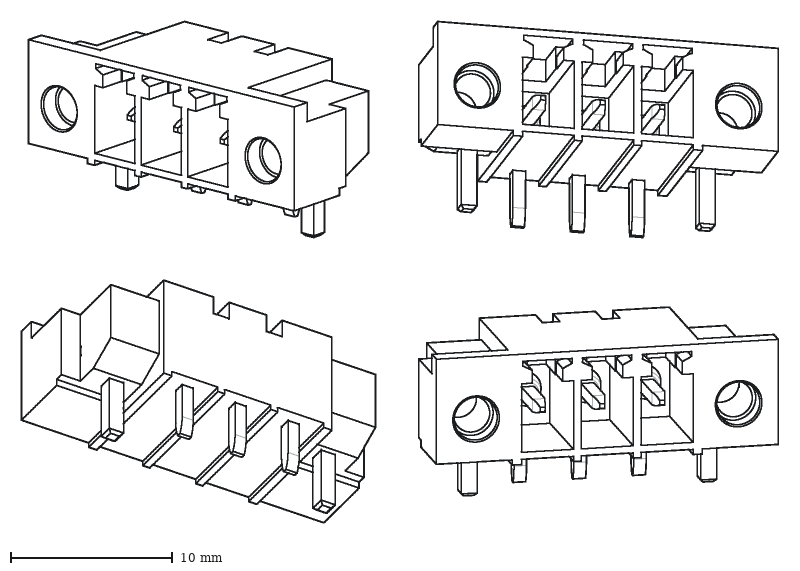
import cadquery as cq
import math


PITCH = 3.8
CONTACT_COUNT = 3
CONTACT_XS = [(i - (CONTACT_COUNT - 1) / 2) * PITCH for i in range(CONTACT_COUNT)]
MATING_Z = 3.08

LENGTH = 21.72
DEPTH = 9.2
TOP_Z = 7.05
STANDOFF_HEIGHT = 0.33
FLANGE_DEPTH = 1.24

WING_TOP_Z = 5.82
OUTER_WING_DEPTH = 4.9
INNER_WING_LENGTH = 19.0
INNER_WING_DEPTH = 8.65
WING_STEP_Y = 4.32
WING_STEP_Z = 0.78
WING_SLOPE_Y = 6.5
WING_SLOPE_END_Z = 1.8

POCKET_WIDTH = 3.3
POCKET_DEPTH = 6.52
POCKET_FLOOR_THICKNESS = 0.45
POCKET_FLOOR_Z = STANDOFF_HEIGHT + POCKET_FLOOR_THICKNESS
POCKET_TOP_Z = 5.17
OUTER_WALL = 0.59
BLOCK_LENGTH = (CONTACT_COUNT - 1) * PITCH + POCKET_WIDTH + 2 * OUTER_WALL

KEYWAY_WIDTH = 1.8
KEYWAY_TOP_Z = 6.6
KEYWAY_DEPTH = 4.35
KEYWAY_MOUTH_WIDTH = 1.93
KEYWAY_MOUTH_DEPTH = 1.74
FLARE_WIDTH = 3.13
FLARE_EDGE_Z = 6.3
FLARE_ROOT_Z = 6.0

COLLAR_BASE_RADIUS = 1.09
COLLAR_RIM_RADIUS = 0.85
COLLAR_HEIGHT = 1.0
COLLAR_ROUNDING = 0.2

NOTCH_WIDTH = 1.1
NOTCH_LENGTH = 1.93
NOTCH_FLOOR_Z = WING_TOP_Z

SCREW_HOLE_X = 8.35
SCREW_BORE_RADIUS = 1.37
SCREW_BORE_DEPTH = FLANGE_DEPTH
SCREW_BORE_CHAMFER = 0.1
SCREW_CORE_RADIUS = 1.15
SCREW_CORE_DEPTH = OUTER_WING_DEPTH

PIN_SIZE = 0.8
PIN_TIP_THICKNESS = 0.28
PIN_TIP_WIDTH = 0.33
PIN_TIP_LENGTH = 1.13
PIN_FRONT_Y = 1.37
PIN_LEG_Y = 7.93
LEG_END_Z = -3.21

PEG_SIZE = 1.02
PEG_X = 2 * PITCH
PEG_Y = 5.58
PEG_TOP_Z = 1.74
PEG_CHAMFER = 0.2


def box(x_range, y_range, z_range):
    """Block between two limits along each axis."""
    (x0, x1), (y0, y1), (z0, z1) = x_range, y_range, z_range
    return cq.Workplane("XY").box(x1 - x0, y1 - y0, z1 - z0, centered=False).translate((x0, y0, z0))


def centred(width, middle=0.0):
    """Limits of a span of the given width around its middle."""
    return (middle - width / 2, middle + width / 2)


def round_bore(x, radius, depth):
    """Cylinder from the mating face along +Y, at the height of the contact axes."""
    return cq.Workplane(cq.Solid.makeCylinder(radius, depth, cq.Vector(x, 0, MATING_Z), cq.Vector(0, 1, 0)))


def make_wings():
    """Wing profile along the whole row, with its ends shortened behind the outer wings."""
    profile = (
        cq.Workplane("YZ")
        .moveTo(0, STANDOFF_HEIGHT)
        .lineTo(WING_STEP_Y, STANDOFF_HEIGHT)
        .lineTo(WING_STEP_Y, WING_STEP_Z)
        .lineTo(WING_SLOPE_Y, WING_STEP_Z)
        .lineTo(INNER_WING_DEPTH, WING_SLOPE_END_Z)
        .lineTo(INNER_WING_DEPTH, WING_TOP_Z)
        .lineTo(0, WING_TOP_Z)
        .close()
        .extrude(LENGTH / 2, both=True)
    )
    outer = box(centred(LENGTH), (0, OUTER_WING_DEPTH), (0, TOP_Z))
    inner = box(centred(INNER_WING_LENGTH), (0, INNER_WING_DEPTH), (0, TOP_Z))
    return profile.intersect(outer.union(inner))


def make_keyway(x):
    """Slot above a pocket, with a wider flared mouth at the mating face."""
    slot = box(centred(KEYWAY_WIDTH, x), (0, KEYWAY_DEPTH), (POCKET_TOP_Z, KEYWAY_TOP_Z))
    half_mouth = KEYWAY_MOUTH_WIDTH / 2
    half_flare = FLARE_WIDTH / 2
    mouth = (
        cq.Workplane("XZ")
        .polyline([
            (x - half_mouth, POCKET_TOP_Z),
            (x + half_mouth, POCKET_TOP_Z),
            (x + half_mouth, FLARE_ROOT_Z),
            (x + half_flare, FLARE_EDGE_Z),
            (x + half_flare, KEYWAY_TOP_Z),
            (x - half_flare, KEYWAY_TOP_Z),
            (x - half_flare, FLARE_EDGE_Z),
            (x - half_mouth, FLARE_ROOT_Z),
        ])
        .close()
        .extrude(-KEYWAY_MOUTH_DEPTH)
    )
    return slot.union(mouth)


def make_collar(x):
    """Conical collar with a rounded rim, standing on the pocket back wall."""
    cone = cq.Workplane(cq.Solid.makeCone(
        COLLAR_BASE_RADIUS, COLLAR_RIM_RADIUS, COLLAR_HEIGHT,
        cq.Vector(x, POCKET_DEPTH, MATING_Z), cq.Vector(0, -1, 0),
    ))
    return cone.faces("<Y").edges().fillet(COLLAR_ROUNDING)


def make_screw_hole(x):
    """Stepped blind hole with a chamfered mouth."""
    bore = round_bore(x, SCREW_BORE_RADIUS, SCREW_BORE_DEPTH)
    core = round_bore(x, SCREW_CORE_RADIUS, SCREW_CORE_DEPTH)
    mouth = cq.Workplane(cq.Solid.makeCone(
        SCREW_BORE_RADIUS + SCREW_BORE_CHAMFER, SCREW_BORE_RADIUS, SCREW_BORE_CHAMFER,
        cq.Vector(x, 0, MATING_Z), cq.Vector(0, 1, 0),
    ))
    return bore.union(core).union(mouth)


def taper_arc_middle():
    """Offset from the pin axis, and distance from the tip end, halfway along a taper arc.

    The arc is tangent to the pin side, so its centre lies level with the start of the taper.
    """
    inset = (PIN_SIZE - PIN_TIP_THICKNESS) / 2
    radius = (PIN_TIP_LENGTH ** 2 + inset ** 2) / (2 * inset)
    half_angle = math.asin(PIN_TIP_LENGTH / radius) / 2
    offset = PIN_SIZE / 2 - radius * (1 - math.cos(half_angle))
    return offset, PIN_TIP_LENGTH - radius * math.sin(half_angle)


def make_contact_pin(x):
    """Square pin bent at a right angle, tapered at the mating tip and at the board end."""
    half = PIN_SIZE / 2
    half_tip = PIN_TIP_THICKNESS / 2
    half_tip_width = PIN_TIP_WIDTH / 2
    taper_y = PIN_FRONT_Y + PIN_TIP_LENGTH
    taper_z = LEG_END_Z + PIN_TIP_LENGTH
    arc_offset, arc_distance = taper_arc_middle()
    arc_y = PIN_FRONT_Y + arc_distance
    arc_z = LEG_END_Z + arc_distance
    bent_bar = (
        cq.Workplane("YZ", origin=(x, 0, 0))
        .moveTo(taper_y, MATING_Z + half)
        .lineTo(PIN_LEG_Y + half, MATING_Z + half)
        .lineTo(PIN_LEG_Y + half, taper_z)
        .threePointArc((PIN_LEG_Y + arc_offset, arc_z), (PIN_LEG_Y + half_tip, LEG_END_Z))
        .lineTo(PIN_LEG_Y - half_tip, LEG_END_Z)
        .threePointArc((PIN_LEG_Y - arc_offset, arc_z), (PIN_LEG_Y - half, taper_z))
        .lineTo(PIN_LEG_Y - half, MATING_Z - half)
        .lineTo(taper_y, MATING_Z - half)
        .threePointArc((arc_y, MATING_Z - arc_offset), (PIN_FRONT_Y, MATING_Z - half_tip))
        .lineTo(PIN_FRONT_Y, MATING_Z + half_tip)
        .threePointArc((arc_y, MATING_Z + arc_offset), (taper_y, MATING_Z + half))
        .close()
        .extrude(half, both=True)
    )
    plan = (
        cq.Workplane("XY", origin=(x, 0, LEG_END_Z))
        .polyline([
            (-half_tip_width, PIN_FRONT_Y),
            (half_tip_width, PIN_FRONT_Y),
            (half, taper_y),
            (half, PIN_LEG_Y + half),
            (-half, PIN_LEG_Y + half),
            (-half, taper_y),
        ])
        .close()
        .extrude(TOP_Z - LEG_END_Z)
    )
    return bent_bar.intersect(plan)


def make_board_peg(x):
    """Square peg pressed up into the wing underside, chamfered at its lower end."""
    peg = box(centred(PEG_SIZE, x), centred(PEG_SIZE, PEG_Y), (LEG_END_Z, PEG_TOP_Z))
    return peg.faces("<Z").chamfer(PEG_CHAMFER)


def make_housing(inserts):
    """Housing with pockets, keyways, notches, screw holes and a seat for each insert."""
    body = make_wings()
    body = body.union(box(centred(LENGTH), (0, FLANGE_DEPTH), (STANDOFF_HEIGHT, TOP_Z)))
    body = body.union(box(centred(BLOCK_LENGTH), (0, DEPTH), (0, TOP_Z)))

    for x in CONTACT_XS:
        body = body.cut(box(centred(POCKET_WIDTH, x), (0, DEPTH), (0, STANDOFF_HEIGHT)))
        body = body.cut(box(centred(POCKET_WIDTH, x), (0, POCKET_DEPTH), (POCKET_FLOOR_Z, POCKET_TOP_Z)))
        body = body.cut(make_keyway(x))
        body = body.union(make_collar(x))

    for x in [left + PITCH / 2 for left in CONTACT_XS[:-1]]:
        body = body.cut(box(centred(NOTCH_WIDTH, x), (DEPTH - NOTCH_LENGTH, DEPTH), (NOTCH_FLOOR_Z, TOP_Z)))

    for x in (-SCREW_HOLE_X, SCREW_HOLE_X):
        body = body.cut(make_screw_hole(x))

    for insert in inserts:
        body = body.cut(insert)
    return body


contact_pins = [make_contact_pin(x) for x in CONTACT_XS]
board_pegs = [make_board_peg(x) for x in (-PEG_X, PEG_X)]
housing = make_housing(contact_pins + board_pegs)

result = cq.Compound.makeCompound([
    housing.val(),
    *[pin.val() for pin in contact_pins],
    *[peg.val() for peg in board_pegs],
])